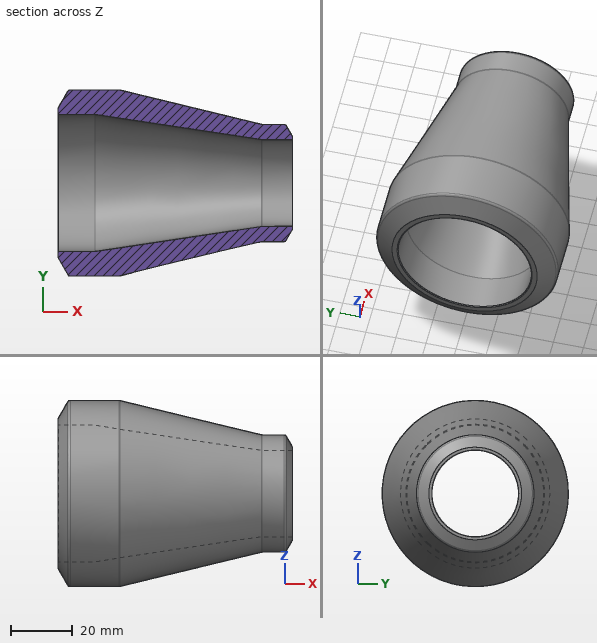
import cadquery as cq
import math

total_length = 76.0
wide_diameter = 60.3
wide_bore = 44.3
wide_length = 20.0
wide_bore_length = 12.0
wide_land = 2.0
narrow_diameter = 38.0
narrow_bore = 28.0
narrow_length = 10.0
narrow_land = 1.0
bevel_angle = 30.0
outer_edge_radius = 1.0
bore_edge_chamfer = 0.3
selection_margin = 0.1

wide_radius = wide_diameter / 2
wide_bore_radius = wide_bore / 2
wide_face_radius = wide_bore_radius + wide_land
narrow_radius = narrow_diameter / 2
narrow_bore_radius = narrow_bore / 2
narrow_face_radius = narrow_bore_radius + narrow_land

x_wide_end = -total_length / 2
x_narrow_end = total_length / 2
x_cone_start = x_wide_end + wide_length
x_cone_end = x_narrow_end - narrow_length
x_bore_taper_start = x_wide_end + wide_bore_length

bevel_slope = math.tan(math.radians(bevel_angle))
x_wide_bevel = x_wide_end + (wide_radius - wide_face_radius) * bevel_slope
x_narrow_bevel = x_narrow_end - (narrow_radius - narrow_face_radius) * bevel_slope


def revolved_reducer():
    """Half section in the XY plane, turned about the X axis."""
    section = (
        cq.Workplane("XY")
        .moveTo(x_wide_end, wide_bore_radius)
        .lineTo(x_wide_end, wide_face_radius)
        .lineTo(x_wide_bevel, wide_radius)
        .lineTo(x_cone_start, wide_radius)
        .lineTo(x_cone_end, narrow_radius)
        .lineTo(x_narrow_bevel, narrow_radius)
        .lineTo(x_narrow_end, narrow_face_radius)
        .lineTo(x_narrow_end, narrow_bore_radius)
        .lineTo(x_cone_end, narrow_bore_radius)
        .lineTo(x_bore_taper_start, wide_bore_radius)
        .close()
    )
    return section.revolve(360, (0, 0, 0), (1, 0, 0))


def circular_edge(x_edge, radius):
    """Selector for the circular edge of the given radius at x_edge."""
    margin = selection_margin
    reach = radius + margin
    return cq.selectors.BoxSelector(
        (x_edge - margin, -reach, -reach),
        (x_edge + margin, reach, reach),
        boundingbox=True,
    )


def round_outer_edges(body):
    """Round the bevel edges and both ends of the outer cone."""
    outer_edges = [
        (x_wide_bevel, wide_radius),
        (x_cone_start, wide_radius),
        (x_cone_end, narrow_radius),
        (x_narrow_bevel, narrow_radius),
    ]
    for x_edge, radius in outer_edges:
        body = body.edges(circular_edge(x_edge, radius)).fillet(outer_edge_radius)
    return body


def break_bore_edge(body):
    """Chamfer the mouth of the wide bore."""
    return body.edges(circular_edge(x_wide_end, wide_bore_radius)).chamfer(bore_edge_chamfer)


result = revolved_reducer()
result = round_outer_edges(result)
result = break_bore_edge(result)